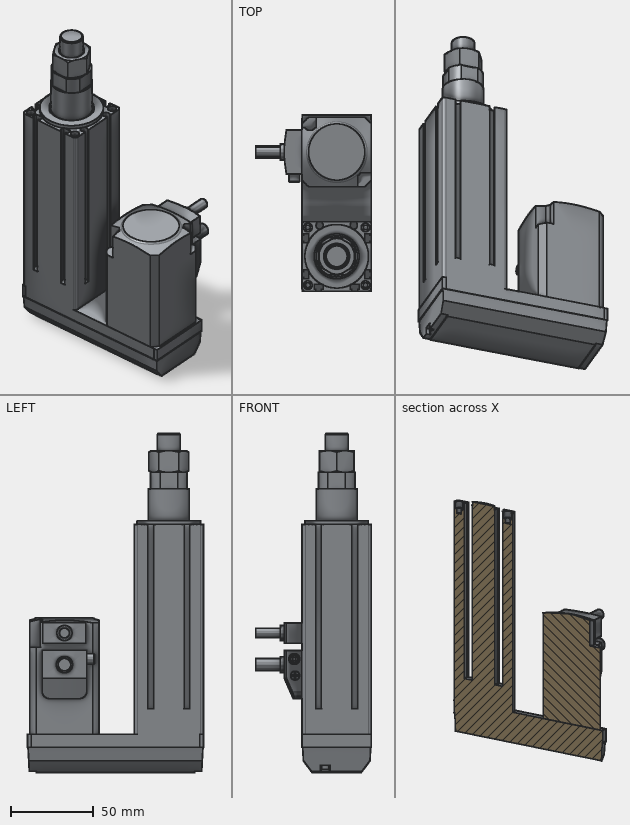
import cadquery as cq
import math


housing_width = 42.0
half_width = housing_width / 2
motor_spacing = 63.0
total_length_y = 106.55
total_height = 204.8
cable_reach = 70.0 - half_width

pad_top_z = 0.7
bevel_top_z = 7.2
cover_top_z = 15.2
plate_top_z = 23.3
slot_bottom_z = 38.5
housing_top_z = 149.9
flange_top_z = 152.2
rod_seat_z = 151.2
shoulder_z = 171.4
nut_seat_z = 181.5
nut_top_z = 194.2

plate_overhang = 0.10
plate_front_y = -half_width - plate_overhang
plate_back_y = plate_front_y + total_length_y
plate_middle_y = (plate_back_y + plate_front_y) / 2
plate_end_length = 2.4
plate_end_inset = 0.15
housing_round = 1.9
flange_diameter = 38.4
flange_bore_diameter = 27.2
cover_inset = 0.4
cover_draft = 0.8
bevel_width = 5.4
pad_inset_y = 5.5
notch_width = 6.3
notch_height = 4.6
notch_depth = 2.5
notch_x = -6.9
cover_screw_diameter = 5.2
cover_screw_flange_diameter = 5.8
cover_screw_flange_z = 2.0
cover_screw_setback = 1.6

groove_offset = 10.9
groove_mouth_width = 3.4
groove_lip = 1.0
groove_depth = 4.2
groove_inner_width = 5.4
round_groove_offset = 10.3
round_groove_radius = 2.2
round_groove_axis_depth = 2.4
screw_offset = 17.4
screw_hole_diameter = 5.2
screw_hole_depth = 4.0
screw_socket_diameter = 3.0
screw_socket_depth = 3.0

rod_diameter = 25.0
wrench_diameter = 24.6
rod_flat_size = 22.2
stud_diameter = 14.0
stud_chamfer = 0.7
nut_flats = 21.0
nut_corners = nut_flats / math.cos(math.radians(30))
nut_face_diameter = 21.6
nut_chamfer_angle = 30.0
nut_countersink = 0.8

motor_width = 42.0
motor_chamfer = 4.0
motor_half = motor_width / 2
motor_lid_radius = 18.3
motor_lid_top_radius = 17.0
motor_lid_foot_z = 92.8
motor_top_z = 93.6
motor_slope = 0.27
motor_pocket_z = 75.6
rear_pocket_x = 8.6
rear_pocket_y = 6.4
rear_relief_radius = 3.7
rear_relief_y = 4.3
front_pocket_x = 8.2
front_pocket_y = 8.6
front_pocket_chamfer = 2.0

connector_depth = 10.7
connector_crown = 1.3
signal_width = 26.0
signal_bottom_z = 78.0
signal_top_z = 90.4
power_width = 27.0
power_top_z = 73.8
power_slope_z = 57.1
power_bottom_z = 44.7
power_slope_run = 5.4
power_corner_round = 4.5
signal_cable_z = 84.3
signal_cable_diameter = 6.0
signal_collar_diameter = 9.2
power_cable_z = 65.2
power_cable_diameter = 7.6
power_collar_diameter = 9.8
collar_face_depth = 13.0
cap_depth = 4.6
cap_z = 68.6
cap_diameter = 6.6
cap_length = 4.9
cap_chamfer = 0.8
cap_recess_diameter = 4.4
cap_recess_depth = 0.6
cap_socket_size = 2.0
cap_socket_depth = 2.0
earth_depth = 4.1
earth_z = 58.6
earth_diameter = 5.4
earth_recess = 0.8
earth_slot_width = 0.9
earth_slot_depth = 0.8


def block(x0, x1, y0, y1, z0, z1):
    """Axis-aligned box between two corners."""
    return cq.Workplane("XY").box(x1 - x0, y1 - y0, z1 - z0, centered=False).translate((x0, y0, z0))


def cylinder(diameter, z0, z1):
    """Upright cylinder on the rod axis."""
    return cq.Workplane("XY").workplane(offset=z0).circle(diameter / 2).extrude(z1 - z0)


def t_groove(offset):
    """T-shaped groove cut into the -Y face of the housing, open at the top."""
    mouth = block(
        offset - groove_mouth_width / 2, offset + groove_mouth_width / 2,
        -half_width, -half_width + groove_depth, slot_bottom_z, housing_top_z,
    )
    inner = block(
        offset - groove_inner_width / 2, offset + groove_inner_width / 2,
        -half_width + groove_lip, -half_width + groove_depth, slot_bottom_z, housing_top_z,
    )
    return mouth.union(inner)


def round_groove(offset):
    """Round-bottomed groove cut into the +Y face of the housing, open at the top."""
    axis_y = half_width - round_groove_axis_depth
    channel = (
        cq.Workplane("XY").workplane(offset=slot_bottom_z).center(offset, axis_y)
        .circle(round_groove_radius).extrude(housing_top_z - slot_bottom_z)
    )
    mouth = block(
        offset - groove_mouth_width / 2, offset + groove_mouth_width / 2,
        axis_y, half_width, slot_bottom_z, housing_top_z,
    )
    return channel.union(mouth)


def make_cover():
    """Drafted cover below the gear plate, bevelled along its long edges."""
    width = housing_width - 2 * cover_inset
    length = total_length_y - 2 * cover_inset
    draft_angle = math.degrees(math.atan2(cover_draft, cover_top_z))
    cover = (
        cq.Workplane("XY").workplane(offset=cover_top_z).center(0, plate_middle_y)
        .rect(width, length).extrude(-cover_top_z, taper=draft_angle)
    )
    for side in (-1, 1):
        bevel = (
            cq.Workplane("XZ")
            .polyline([
                (side * half_width, 0),
                (side * half_width, bevel_top_z),
                (side * (half_width - cover_inset - cover_draft / 2), bevel_top_z),
                (side * (half_width - cover_inset - cover_draft / 2 - bevel_width), 0),
            ])
            .close().extrude(-total_length_y).translate((0, plate_front_y, 0))
        )
        cover = cover.cut(bevel)
    for end_y in (plate_front_y, plate_back_y - pad_inset_y):
        cover = cover.cut(block(-half_width, half_width, end_y, end_y + pad_inset_y, 0, pad_top_z))
    notch_back_y = plate_front_y + cover_inset + cover_draft + notch_depth
    notch = block(
        notch_x - notch_width / 2, notch_x + notch_width / 2,
        plate_front_y, notch_back_y, 0, notch_height,
    )
    screw = cylinder(cover_screw_diameter, pad_top_z, notch_height)
    screw = screw.union(cylinder(cover_screw_flange_diameter, pad_top_z, cover_screw_flange_z))
    screw = screw.translate((notch_x, notch_back_y + cover_screw_setback, 0))
    return cover.cut(notch.cut(screw))


def make_plate():
    """Gear plate whose two end strips are slightly narrower than its middle."""
    middle = block(
        -half_width, half_width, plate_front_y + plate_end_length, plate_back_y - plate_end_length,
        cover_top_z, plate_top_z,
    )
    end_half_width = half_width - plate_end_inset
    ends = block(-end_half_width, end_half_width, plate_front_y, plate_back_y, cover_top_z, plate_top_z)
    return middle.union(ends)


def make_housing():
    """Grooved housing, gear plate, cover and front flange as one solid."""
    body = block(-half_width, half_width, -half_width, half_width, plate_top_z, housing_top_z)
    body = body.edges("|Z").fillet(housing_round)
    for offset in (-groove_offset, groove_offset):
        for angle in (0, 90, 270):
            body = body.cut(t_groove(offset).rotate((0, 0, 0), (0, 0, 1), angle))
    for offset in (-round_groove_offset, round_groove_offset):
        body = body.cut(round_groove(offset))
    body = body.union(make_plate()).union(make_cover())
    body = body.union(cylinder(flange_diameter, housing_top_z, flange_top_z))
    body = body.cut(cylinder(flange_bore_diameter, rod_seat_z, flange_top_z))
    for x in (-screw_offset, screw_offset):
        for y in (-screw_offset, screw_offset):
            head_z = housing_top_z - screw_hole_depth
            recess = cylinder(screw_hole_diameter, head_z, housing_top_z)
            socket = cylinder(screw_socket_diameter, head_z - screw_socket_depth, head_z)
            body = body.cut(recess.union(socket).translate((x, y, 0)))
    return body


def make_rod():
    """Piston rod with four wrench flats and a threaded stud (thread not modelled)."""
    shaft = cylinder(rod_diameter, rod_seat_z, shoulder_z)
    wrench_section = cylinder(wrench_diameter, shoulder_z, nut_seat_z).intersect(
        block(-rod_flat_size / 2, rod_flat_size / 2, -rod_flat_size / 2, rod_flat_size / 2,
              shoulder_z, nut_seat_z))
    stud = cylinder(stud_diameter, nut_seat_z, total_height).faces(">Z").chamfer(stud_chamfer)
    return shaft.union(wrench_section).union(stud)


def make_nut():
    """Hexagon nut with flats toward +X and -X, chamfered corners and a countersunk bore."""
    height = nut_top_z - nut_seat_z
    hexagon = (
        cq.Workplane("XY").workplane(offset=nut_seat_z)
        .polygon(6, nut_corners).extrude(height).rotate((0, 0, 0), (0, 0, 1), 30)
    )
    bore_radius = stud_diameter / 2
    face_radius = nut_face_diameter / 2
    corner_radius = nut_corners / 2
    drop = (corner_radius - face_radius) * math.tan(math.radians(nut_chamfer_angle))
    envelope = (
        cq.Workplane("XZ")
        .polyline([
            (bore_radius, nut_seat_z + nut_countersink),
            (bore_radius + nut_countersink, nut_seat_z),
            (face_radius, nut_seat_z),
            (corner_radius, nut_seat_z + drop),
            (corner_radius, nut_top_z - drop),
            (face_radius, nut_top_z),
            (bore_radius + nut_countersink, nut_top_z),
            (bore_radius, nut_top_z - nut_countersink),
        ])
        .close().revolve(360, (0, 0, 0), (0, 1, 0))
    )
    return hexagon.intersect(envelope)


def connector_outline(plane_z, width, shift):
    """Closed plan outline of a connector with a curved front, moved back by shift along X."""
    side_x = -motor_half - connector_depth + connector_crown + shift
    crown_x = side_x - connector_crown
    return (
        cq.Workplane("XY").workplane(offset=plane_z)
        .moveTo(-motor_half, -width / 2).lineTo(side_x, -width / 2)
        .threePointArc((crown_x, 0), (side_x, width / 2))
        .lineTo(-motor_half, width / 2).close()
    )


def cable(axis_z, cable_diameter, collar_diameter):
    """Cable with its collar, running toward -X from inside the connector."""
    root_x = -motor_half - connector_depth + connector_crown
    start = cq.Workplane("YZ", origin=(root_x, 0, axis_z))
    collar_length = collar_face_depth + motor_half + root_x
    collar = start.circle(collar_diameter / 2).extrude(-collar_length)
    wire = start.circle(cable_diameter / 2).extrude(-(cable_reach + root_x))
    return collar.union(wire)


def make_power_connector():
    """Power connector with a sloped underside, a screw cap and a recessed earth screw."""
    upper = connector_outline(power_slope_z, power_width, 0).extrude(power_top_z - power_slope_z)
    top_wire = connector_outline(power_slope_z, power_width, 0).wires().val()
    bottom_wire = connector_outline(power_bottom_z, power_width, power_slope_run).wires().val()
    lower = cq.Workplane(obj=cq.Solid.makeLoft([top_wire, bottom_wire], True))
    connector = upper.union(lower)
    rounded = (
        block(-motor_half - connector_depth, -motor_half, -power_width / 2, power_width / 2,
              power_bottom_z, power_top_z)
        .edges("|X and <Z").fillet(power_corner_round)
    )
    connector = connector.intersect(rounded)

    side_y = -power_width / 2
    cap = (
        cq.Workplane("XZ", origin=(-motor_half - cap_depth, side_y, cap_z))
        .circle(cap_diameter / 2).extrude(cap_length)
        .faces("<Y").chamfer(cap_chamfer)
        .faces("<Y").workplane().circle(cap_recess_diameter / 2).cutBlind(-cap_recess_depth)
    )
    socket = (
        cq.Workplane("XZ", origin=(-motor_half - cap_depth, side_y - cap_length, cap_z))
        .rect(cap_socket_size, cap_socket_size).extrude(-cap_socket_depth)
    )
    connector = connector.union(cap.cut(socket))

    earth_face = cq.Workplane("XZ", origin=(-motor_half - earth_depth, side_y, earth_z))
    connector = connector.cut(earth_face.circle(earth_diameter / 2).extrude(-earth_recess))
    slot_reach = earth_recess + earth_slot_depth
    connector = connector.cut(earth_face.rect(earth_diameter, earth_slot_width).extrude(-slot_reach))
    return connector.cut(earth_face.rect(earth_slot_width, earth_diameter).extrude(-slot_reach))


def make_motor():
    """Motor with a conical end face, corner pockets and two connectors, built on its own axis."""
    column = block(-motor_half, motor_half, -motor_half, motor_half, plate_top_z, motor_top_z)
    column = column.edges("|Z").chamfer(motor_chamfer)
    corner_radius = math.hypot(motor_half, motor_half)
    rim_z = motor_lid_foot_z - motor_slope * (corner_radius - motor_lid_radius)
    envelope = (
        cq.Workplane("XZ")
        .polyline([
            (0, plate_top_z),
            (corner_radius, plate_top_z),
            (corner_radius, rim_z),
            (motor_lid_radius, motor_lid_foot_z),
            (motor_lid_top_radius, motor_top_z),
            (0, motor_top_z),
        ])
        .close().revolve(360, (0, 0, 0), (0, 1, 0))
    )
    motor = column.intersect(envelope)

    rear_pocket = block(-motor_half, -motor_half + rear_pocket_x, motor_half - rear_pocket_y, motor_half,
                        motor_pocket_z, motor_top_z)
    relief_x = -motor_half + rear_pocket_x - rear_relief_radius
    relief = (
        cylinder(2 * rear_relief_radius, motor_pocket_z, motor_top_z)
        .translate((relief_x, motor_half - rear_relief_y, 0))
    )
    front_pocket = (
        block(motor_half - front_pocket_x, motor_half, -motor_half, -motor_half + front_pocket_y,
              motor_pocket_z, motor_top_z)
        .edges("|Z and <X and >Y").chamfer(front_pocket_chamfer)
    )
    motor = motor.cut(rear_pocket).cut(relief).cut(front_pocket)

    signal_connector = connector_outline(signal_bottom_z, signal_width, 0)
    signal_connector = signal_connector.extrude(signal_top_z - signal_bottom_z)
    motor = motor.union(signal_connector).union(make_power_connector())
    motor = motor.union(cable(signal_cable_z, signal_cable_diameter, signal_collar_diameter))
    motor = motor.union(cable(power_cable_z, power_cable_diameter, power_collar_diameter))
    return motor.translate((0, motor_spacing, 0))


housing = make_housing()
rod = make_rod()
nut = make_nut()
motor = make_motor()

result = cq.Compound.makeCompound([housing.val(), rod.val(), nut.val(), motor.val()])